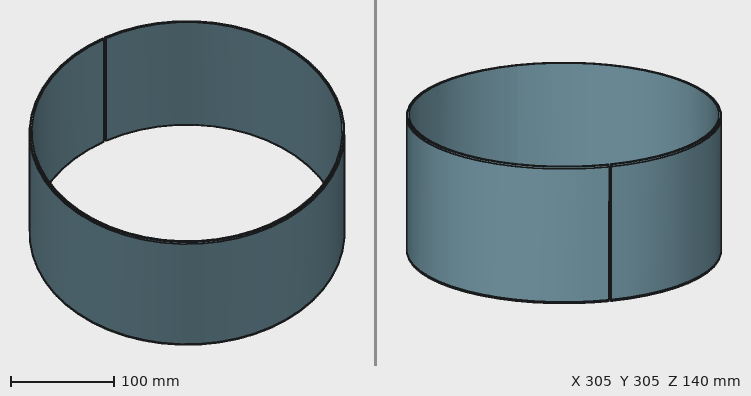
import cadquery as cq

outer_diameter = 305.0
height = 140.0
wall_thickness = 2.38
rim_chamfer_height = 1.8
rim_chamfer_width = 0.67
slit_width = 2.5

outer_radius = outer_diameter / 2
inner_radius = outer_radius - wall_thickness


def chamfered_ring():
    """Thin-walled ring standing on Z = 0, with both outer rims chamfered."""
    rim_radius = outer_radius - rim_chamfer_width
    wall_section = [
        (inner_radius, 0),
        (rim_radius, 0),
        (outer_radius, rim_chamfer_height),
        (outer_radius, height - rim_chamfer_height),
        (rim_radius, height),
        (inner_radius, height),
    ]
    return cq.Workplane("XZ").polyline(wall_section).close().revolve(360, (0, 0), (0, 1))


def slit_cutter():
    """Full-height block that splits the wall on the -X side, with one face on the XZ plane."""
    cutter = cq.Workplane("XY").box(outer_diameter, slit_width, height, centered=False)
    return cutter.translate((-outer_diameter, 0, 0))


result = chamfered_ring().cut(slit_cutter())